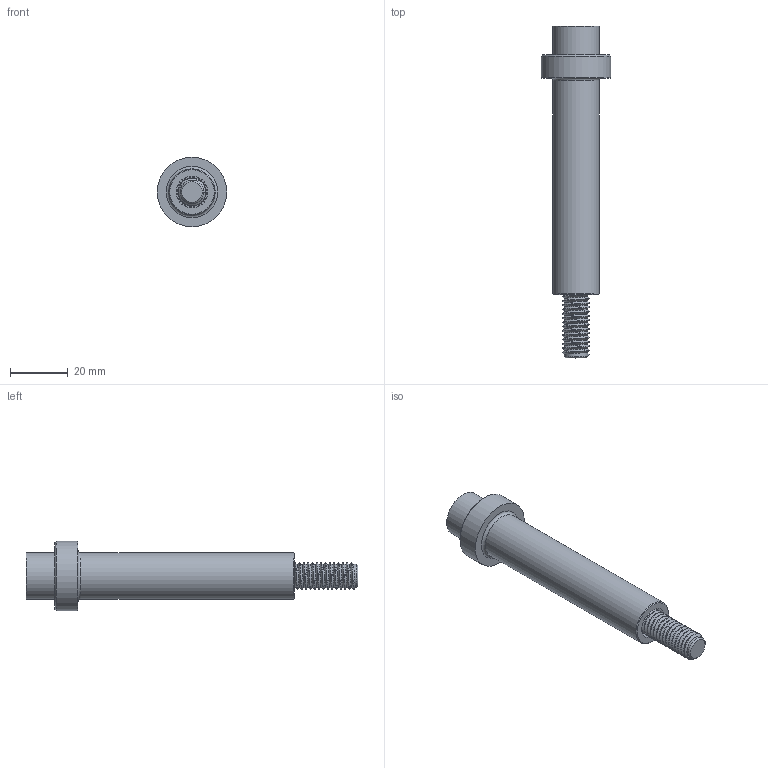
import cadquery as cq
import math

overall_length = 115.0
head_end_y = overall_length / 2
tip_y = -overall_length / 2

head_diameter = 16.0
head_height = 10.0
nominal_diameter = 10.0
thread_pitch = 1.5
sharp_thread_height = thread_pitch * math.sqrt(3) / 2
core_depth_ratio = 17 / 24
core_diameter = nominal_diameter - 2 * core_depth_ratio * sharp_thread_height
crest_diameter = 9.5
crest_width = 0.1
root_width = thread_pitch * 7 / 8
thread_root_overlap = 0.05
thread_length = 32.0
ridge_end_margin = 1.1
tip_chamfer = 0.5

collar_diameter = 24.0
collar_length = 8.0
collar_chamfer = 0.5
sleeve_diameter = 16.0
sleeve_length = 83.0
sleeve_end_chamfer = 0.3
shoulder_fillet = 1.0
bore_diameter = 11.0

head_seat_y = head_end_y - head_height
collar_front_y = head_seat_y - collar_length
sleeve_end_y = head_seat_y - sleeve_length


def cylinder(diameter, start_y, end_y):
    """Solid cylinder on the Y axis, from start_y up to end_y."""
    base = cq.Workplane("XZ", origin=(0, start_y, 0))
    return base.circle(diameter / 2).extrude(start_y - end_y)


def make_thread_ridge():
    """Right-handed helical ridge with a trapezoidal section, its root sunk slightly into the core."""
    ridge_length = thread_length - 2 * ridge_end_margin
    root_radius = core_diameter / 2 - thread_root_overlap
    crest_radius = crest_diameter / 2
    helix = cq.Wire.makeHelix(thread_pitch, ridge_length, root_radius)
    section = (
        cq.Workplane("XZ")
        .moveTo(root_radius, -root_width / 2)
        .lineTo(crest_radius, -crest_width / 2)
        .lineTo(crest_radius, crest_width / 2)
        .lineTo(root_radius, root_width / 2)
        .close()
    )
    ridge = section.sweep(cq.Workplane(helix), isFrenet=True)
    ridge_on_y_axis = ridge.rotate((0, 0, 0), (1, 0, 0), -90)
    return ridge_on_y_axis.translate((0, tip_y + ridge_end_margin, 0))


def make_screw():
    """Cap screw: head, plain shank and threaded end with a chamfered tip."""
    thread_start_y = tip_y + thread_length
    head = cylinder(head_diameter, head_seat_y, head_end_y)
    shank = cylinder(nominal_diameter, thread_start_y, head_seat_y)
    core = cylinder(core_diameter, tip_y, thread_start_y).faces("<Y").chamfer(tip_chamfer)
    return head.union(shank).union(core).union(make_thread_ridge())


def make_sleeve():
    """Long tube with a collar under the screw head and a through bore that clears the screw."""
    collar = cylinder(collar_diameter, collar_front_y, head_seat_y)
    collar = collar.faces(">Y").chamfer(collar_chamfer)
    tube = cylinder(sleeve_diameter, sleeve_end_y, collar_front_y)
    tube = tube.faces("<Y").chamfer(sleeve_end_chamfer)
    sleeve = collar.union(tube)

    shoulder_edges = cq.selectors.BoxSelector(
        (-sleeve_diameter, collar_front_y - shoulder_fillet / 2, -sleeve_diameter),
        (sleeve_diameter, collar_front_y + shoulder_fillet / 2, sleeve_diameter),
        boundingbox=False,
    )
    shoulder_circle = cq.selectors.RadiusNthSelector(0)
    sleeve = sleeve.edges("%CIRCLE").edges(shoulder_edges).edges(shoulder_circle).fillet(shoulder_fillet)

    bore = cylinder(bore_diameter, sleeve_end_y, head_seat_y)
    return sleeve.cut(bore)


screw = make_screw()
sleeve = make_sleeve()

result = cq.Compound.makeCompound([*screw.solids().vals(), *sleeve.solids().vals()])